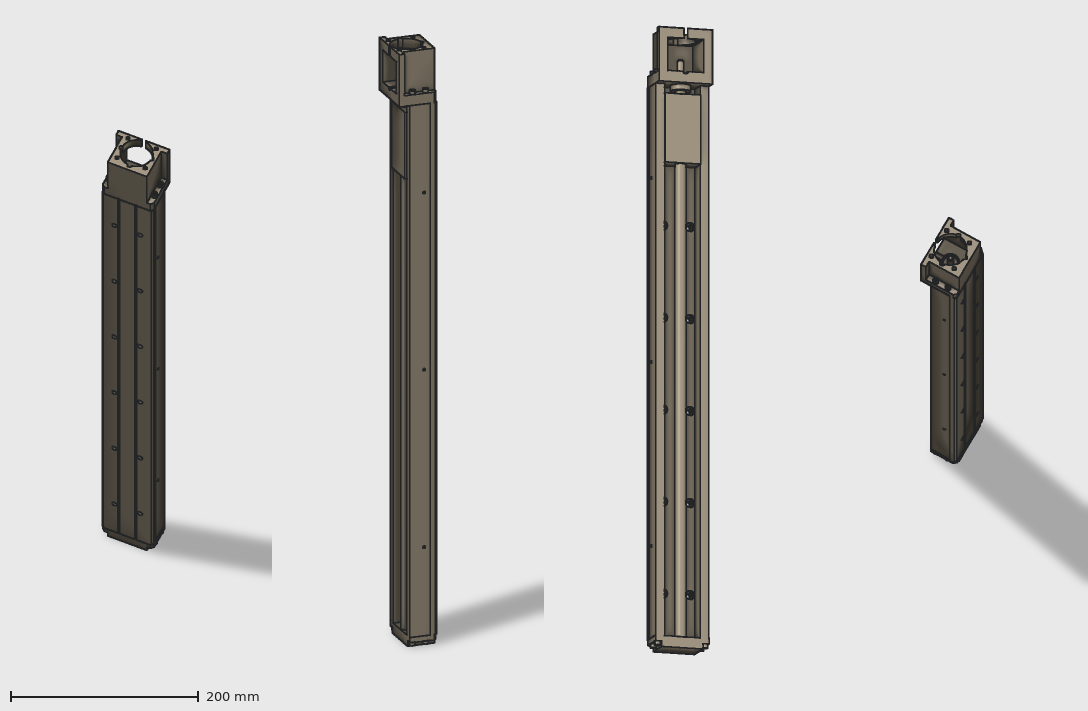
import cadquery as cq

width = 60.0
rail_length = 600.0
rail_height = 31.0
end_cap_length = 12.0
housing_length = 59.0
housing_height = 43.0
axis_y = 24.0

rail_bottom = end_cap_length
rail_top = rail_bottom + rail_length
total_length = rail_top + housing_length

rail_chamfer = 2.0
skirt_height = 7.8
flank_step = 0.4
channel_width = 40.0
channel_floor = 11.0
groove_x = 10.0
groove_width = 2.0
groove_depth = 0.8

mount_pitch = 100.0
mount_count = 6
mount_x = 15.0
mount_diameter = 5.5
mount_head_diameter = 9.5
mount_head_depth = 5.4
side_hole_pitch = 200.0
side_hole_count = 3
side_hole_y = 14.7
side_hole_diameter = 2.46
side_hole_depth = 6.0

corner_chamfer_x = 3.0
corner_chamfer_y = 3.5
end_block_inset = 0.3
flange_length = 12.0
block_width = 46.0
wing_y = 37.0
bore_diameter = 35.0
motor_plate_thickness = 11.0
chamber_width = 40.0
chamber_floor_y = 4.0
bore_notch_diameter = 5.0
bore_notch_radius = 17.5
floor_groove_diameter = 5.0
collar_diameter = 22.0
collar_length = 6.0
pocket_diameter = 19.0
pocket_depth = 4.0
ring_diameter = 16.0
ring_height = 2.0
shaft_diameter = 7.0
shaft_chamfer = 1.5
shaft_length = 20.0
screw_diameter = 12.0
motor_bolt_x = 16.5
motor_bolt_y = 14.0
motor_bolt_diameter = 4.0
cap_relief_length = 6.0

head_diameter = 6.0
head_height = 4.0
socket_diameter = 2.5
socket_depth = 1.5
head_ys = (12.0, 27.0)

carriage_length = 75.0
carriage_gap = 10.5
carriage_height = 33.0
carriage_floor_gap = 1.0

head_x = (width + block_width) / 4


def prism(x_size, y_from, y_to, z_from, z_to):
    """Box centred on X."""
    return cq.Workplane("XY").box(
        x_size, y_to - y_from, z_to - z_from, centered=(True, False, False)
    ).translate((0, y_from, z_from))


def rod(diameter, x, y, z_from, z_to):
    """Cylinder along Z."""
    return cq.Workplane("XY", origin=(x, y, z_from)).circle(diameter / 2).extrude(z_to - z_from)


def chamfered_block(height, z_from, z_to):
    """Full-width block with its two lower corners cut off."""
    half = width / 2
    return (
        cq.Workplane("XY", origin=(0, 0, z_from))
        .moveTo(-half + corner_chamfer_x, end_block_inset)
        .lineTo(half - corner_chamfer_x, end_block_inset)
        .lineTo(half, corner_chamfer_y)
        .lineTo(half, height)
        .lineTo(-half, height)
        .lineTo(-half, corner_chamfer_y)
        .close()
        .extrude(z_to - z_from)
    )




def make_rail():
    half = width / 2
    upper_half = half - flank_step
    rail = (
        cq.Workplane("XY", origin=(0, 0, rail_bottom))
        .moveTo(-half + rail_chamfer, 0)
        .lineTo(half - rail_chamfer, 0)
        .lineTo(half, rail_chamfer)
        .lineTo(half, skirt_height)
        .lineTo(upper_half, skirt_height)
        .lineTo(upper_half, rail_height)
        .lineTo(-upper_half, rail_height)
        .lineTo(-upper_half, skirt_height)
        .lineTo(-half, skirt_height)
        .lineTo(-half, rail_chamfer)
        .close()
        .extrude(rail_length)
    )
    rail = rail.cut(prism(channel_width, channel_floor, rail_height, rail_bottom, rail_top))
    for side in (-1, 1):
        groove = prism(groove_width, 0, groove_depth, rail_bottom, rail_top)
        rail = rail.cut(groove.translate((side * groove_x, 0, 0)))
    return rail.cut(make_mount_holes()).cut(make_side_holes())


def make_mount_holes():
    """Counterbored holes through the channel floor."""
    first_z = rail_bottom + mount_pitch / 2
    points = [
        (x, first_z + i * mount_pitch) for x in (-mount_x, mount_x) for i in range(mount_count)
    ]
    through = cq.Workplane("XZ").pushPoints(points).circle(mount_diameter / 2).extrude(-channel_floor)
    heads = (
        cq.Workplane("XZ", origin=(0, channel_floor - mount_head_depth, 0))
        .pushPoints(points)
        .circle(mount_head_diameter / 2)
        .extrude(-mount_head_depth)
    )
    return through.union(heads)


def make_side_holes():
    """Blind tapped holes in both flanks."""
    points = [
        (side_hole_y, rail_bottom + mount_pitch + i * side_hole_pitch) for i in range(side_hole_count)
    ]
    holes = cq.Workplane("YZ", origin=(-width / 2, 0, 0)).pushPoints(points)
    holes = holes.circle(side_hole_diameter / 2).extrude(side_hole_depth)
    return holes.union(holes.mirror("YZ"))


def make_cap_screws(seat_z, direction):
    """Socket heads standing on a seat, pointing along +Z or -Z."""
    screws = cq.Workplane("XY")
    for x in (-head_x, head_x):
        for y in head_ys:
            z_top = seat_z + direction * head_height
            z_socket = z_top - direction * socket_depth
            head = rod(head_diameter, x, y, seat_z, z_top)
            screws = screws.add(head.cut(rod(socket_diameter, x, y, z_socket, z_top)))
    return screws.combine()


def cut_motor_plate(housing, plate_bottom):
    """Motor bore with four edge notches, and four motor bolt holes."""
    housing = housing.cut(rod(bore_diameter, 0, axis_y, plate_bottom, total_length))
    for side in (-1, 1):
        offset = side * bore_notch_radius
        for x, y in ((offset, axis_y), (0, axis_y + offset)):
            housing = housing.cut(rod(bore_notch_diameter, x, y, plate_bottom, total_length))
        for y in (axis_y - motor_bolt_y, axis_y + motor_bolt_y):
            x = side * motor_bolt_x
            housing = housing.cut(rod(motor_bolt_diameter, x, y, plate_bottom, total_length))
    return housing


def make_bearing_end(chamber_floor):
    """Bearing ring and drive shaft that rise from the pocket in the chamber floor."""
    pocket_floor = chamber_floor - pocket_depth
    shaft = rod(shaft_diameter, 0, axis_y, pocket_floor, pocket_floor + shaft_length)
    shaft = shaft.faces(">Z").chamfer(shaft_chamfer)
    return rod(ring_diameter, 0, axis_y, pocket_floor, pocket_floor + ring_height).union(shaft)


def make_housing():
    flange_top = rail_top + flange_length
    plate_bottom = total_length - motor_plate_thickness
    housing = chamfered_block(housing_height, rail_top, flange_top)
    housing = housing.union(
        prism(block_width, end_block_inset, housing_height, flange_top, total_length)
    )
    housing = housing.union(prism(width, wing_y, housing_height, flange_top, total_length))
    housing = housing.cut(
        prism(chamber_width, chamber_floor_y, housing_height, flange_top, plate_bottom)
    )
    housing = cut_motor_plate(housing, plate_bottom)
    groove = cq.Workplane("XZ", origin=(0, axis_y, flange_top)).circle(floor_groove_diameter / 2)
    housing = housing.cut(groove.extrude(axis_y - housing_height))
    pocket = rod(pocket_diameter, 0, axis_y, flange_top - pocket_depth, flange_top)
    housing = housing.cut(pocket).union(make_bearing_end(flange_top))
    housing = housing.union(rod(collar_diameter, 0, axis_y, rail_top - collar_length, rail_top))
    return housing.union(make_cap_screws(flange_top, 1))


def make_end_cap():
    cap = chamfered_block(rail_height, cap_relief_length, end_cap_length)
    cap = cap.union(prism(block_width, end_block_inset, rail_height, 0, cap_relief_length))
    return cap.union(make_cap_screws(cap_relief_length, -1))


def make_base():
    screw = rod(screw_diameter, 0, axis_y, rail_bottom, rail_top)
    return make_rail().union(make_housing()).union(make_end_cap()).union(screw)


def make_carriage():
    z_top = rail_top - carriage_gap
    z_bottom = z_top - carriage_length
    carriage = prism(
        channel_width, channel_floor + carriage_floor_gap, carriage_height, z_bottom, z_top
    )
    return carriage.cut(rod(screw_diameter, 0, axis_y, z_bottom, z_top))


base = make_base()
carriage = make_carriage()
result = cq.Compound.makeCompound([base.val(), carriage.val()])